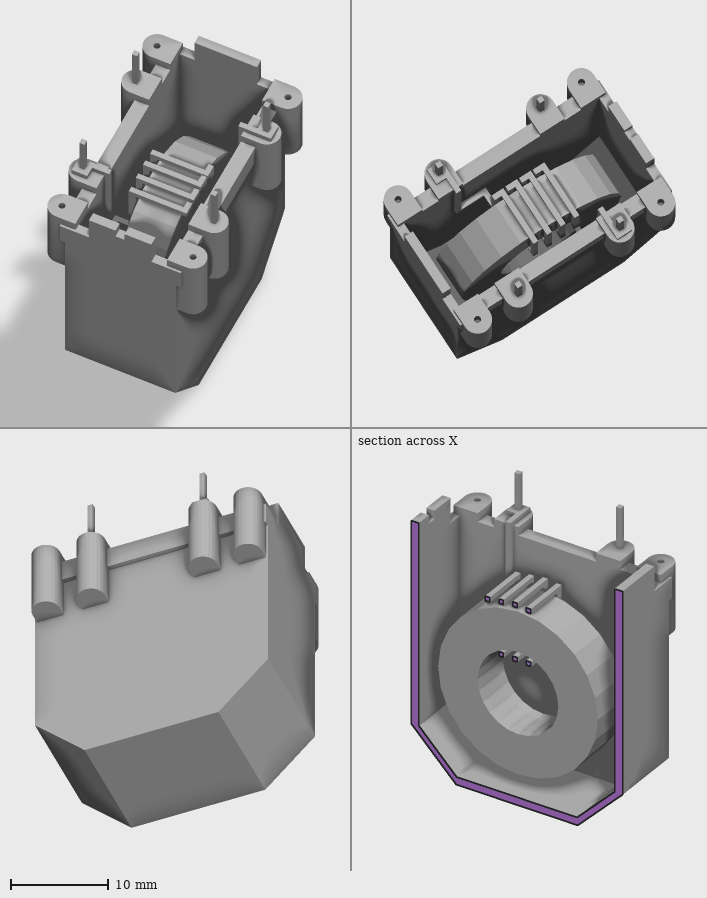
import cadquery as cq
import math


HEIGHT = 33.0
LENGTH = 26.0
BODY_WIDTH = 12.6
RIM_WIDTH = 13.8
CAVITY_WIDTH = 10.5
CAVITY_LENGTH = 24.0
RIM_BOTTOM = 24.5
RIM_TOP = 27.0
BASE_CHAMFER = 5.55
FLOOR_THICKNESS = 1.0
FLOOR_LENGTH = 14.8

TAB_WIDTH = 7.13
TAB_TOP = 30.0
NOTCH_WIDTH = 1.05
NOTCH_DEPTH = 1.0

POST_DIAMETER = 3.0
POST_RADIUS = POST_DIAMETER / 2
POST_X = 7.5
POST_BOTTOM = 20.0
POST_TOP = 28.02
CORNER_POST_Y = 11.25
PIN_POST_Y = 6.25
CORNER_HOLE_RADIUS = 0.35
SOCKET_DEPTH = 1.98

FACETS = 24
CORE_RADIUS = 9.8
CORE_HOLE_RADIUS = 4.95
CORE_WIDTH = 4.82
CORE_X = -0.03
CORE_Y = 0.13
CORE_Z = 13.53

WIRE = 0.6
PAD = 3 * WIRE
PITCH = 1.68
FIRST_LEG_Y = 2.28
COIL_LEFT = -3.1
COIL_RIGHT = 2.9
COIL_TOPS = (23.85, 24.02, 23.83, 23.6)
COIL_BOTTOM = 17.5


def centred_box(width, length, bottom, top):
    return cq.Workplane("XY").workplane(offset=bottom).rect(width, length).extrude(top - bottom)


def chamfered_block(width, length, bottom, top, flat_length):
    """Block whose two lower end edges are cut at 45 degrees, leaving flat_length of base."""
    rise = (length - flat_length) / 2
    return (
        cq.Workplane("YZ")
        .moveTo(-flat_length / 2, bottom)
        .lineTo(flat_length / 2, bottom)
        .lineTo(length / 2, bottom + rise)
        .lineTo(length / 2, top)
        .lineTo(-length / 2, top)
        .lineTo(-length / 2, bottom + rise)
        .close()
        .extrude(width / 2, both=True)
    )


def facet_points(radius, first, last):
    """Corners of a regular polygon from corner number first to corner number last."""
    step = 2 * math.pi / FACETS
    return [(radius * math.cos(k * step), radius * math.sin(k * step)) for k in range(first, last + 1)]


def post(side, y):
    """Post with a faceted round outer end, reaching in to the cavity wall."""
    inner = CAVITY_WIDTH / 2 - POST_X
    quarter = FACETS // 4
    outline = [(inner, -POST_RADIUS)] + facet_points(POST_RADIUS, -quarter, quarter) + [(inner, POST_RADIUS)]
    outline = [(side * (POST_X + px), y + py) for px, py in outline]
    base = cq.Workplane("XY").workplane(offset=POST_BOTTOM)
    return base.polyline(outline).close().extrude(POST_TOP - POST_BOTTOM)


def make_housing():
    body = chamfered_block(BODY_WIDTH, LENGTH, 0, RIM_TOP, LENGTH - 2 * BASE_CHAMFER)
    body = body.union(centred_box(RIM_WIDTH, LENGTH, RIM_BOTTOM, RIM_TOP))
    body = body.union(centred_box(TAB_WIDTH, LENGTH, RIM_TOP, TAB_TOP))
    for side in (-1, 1):
        for y in (-CORNER_POST_Y, -PIN_POST_Y, PIN_POST_Y, CORNER_POST_Y):
            body = body.union(post(side, y))
    body = body.cut(chamfered_block(CAVITY_WIDTH, CAVITY_LENGTH, FLOOR_THICKNESS, HEIGHT, FLOOR_LENGTH))
    return body.cut(front_notch()).cut(corner_holes())


def front_notch():
    """Cutter for the slot in the top of the -Y tab only."""
    slot = centred_box(NOTCH_WIDTH, LENGTH / 2, TAB_TOP - NOTCH_DEPTH, HEIGHT)
    return slot.translate((0, -LENGTH / 2, 0))


def corner_holes():
    return (
        cq.Workplane("XY")
        .workplane(offset=POST_TOP - SOCKET_DEPTH)
        .rect(2 * POST_X, 2 * CORNER_POST_Y, forConstruction=True)
        .vertices()
        .circle(CORNER_HOLE_RADIUS)
        .extrude(SOCKET_DEPTH)
    )


def core_prism(radius):
    """Regular polygon prism along X, as wide as the core."""
    outline = facet_points(radius, 0, FACETS - 1)
    return cq.Workplane("YZ").polyline(outline).close().extrude(CORE_WIDTH / 2, both=True)


def make_core():
    return core_prism(CORE_RADIUS).cut(core_prism(CORE_HOLE_RADIUS)).translate((CORE_X, CORE_Y, CORE_Z))


def wire_run(start, end):
    """Square wire between two centre points that differ along one axis."""
    size = [abs(b - a) + WIRE for a, b in zip(start, end)]
    middle = [(a + b) / 2 for a, b in zip(start, end)]
    return cq.Workplane("XY").box(*size).translate(tuple(middle))


def lead_path(side):
    """Wire from a pin post to the cavity wall and down it to the level of the lower runs."""
    wall_x = side * (CAVITY_WIDTH - WIRE) / 2
    arm_y = side * (PIN_POST_Y - WIRE)
    arm_z = POST_TOP + WIRE / 2
    return [
        (side * POST_X, arm_y, arm_z),
        (wall_x, arm_y, arm_z),
        (wall_x, arm_y, COIL_BOTTOM),
    ]


def winding_path():
    """Corners of the wire centre line from the +X post, round the core and out to the -X post."""
    path = lead_path(1)
    path.append((path[-1][0], FIRST_LEG_Y, COIL_BOTTOM))
    for turn, top in enumerate(COIL_TOPS):
        leg_y = FIRST_LEG_Y - turn * PITCH
        bar_y = leg_y - PITCH / 2
        path += [
            (COIL_RIGHT, leg_y, COIL_BOTTOM),
            (COIL_RIGHT, leg_y, top),
            (COIL_RIGHT, bar_y, top),
            (COIL_LEFT, bar_y, top),
            (COIL_LEFT, bar_y, COIL_BOTTOM),
        ]
        if turn < len(COIL_TOPS) - 1:
            path.append((COIL_RIGHT, bar_y, COIL_BOTTOM))
    lead = lead_path(-1)
    path.append((lead[-1][0], path[-1][1], COIL_BOTTOM))
    return path + lead[::-1]


def add_winding(body):
    """Wire from post to post, looped through the core; it rests on the posts and runs down the walls."""
    path = winding_path()
    for start, end in zip(path, path[1:]):
        body = body.union(wire_run(start, end))
    for side in (-1, 1):
        pad = centred_box(PAD, PAD, POST_TOP, POST_TOP + WIRE)
        body = body.union(pad.translate((side * POST_X, side * PIN_POST_Y, 0)))
    return body


def make_pin(side_x, side_y):
    pin = centred_box(WIRE, WIRE, POST_TOP - SOCKET_DEPTH, HEIGHT)
    return pin.translate((side_x * POST_X, side_y * PIN_POST_Y, 0))


core = make_core()
pins = [make_pin(side_x, side_y) for side_x in (-1, 1) for side_y in (-1, 1)]
wired_housing = add_winding(make_housing())
for socket in pins:
    wired_housing = wired_housing.cut(socket)

result = cq.Compound.makeCompound([wired_housing.val(), core.val(), *[pin.val() for pin in pins]])